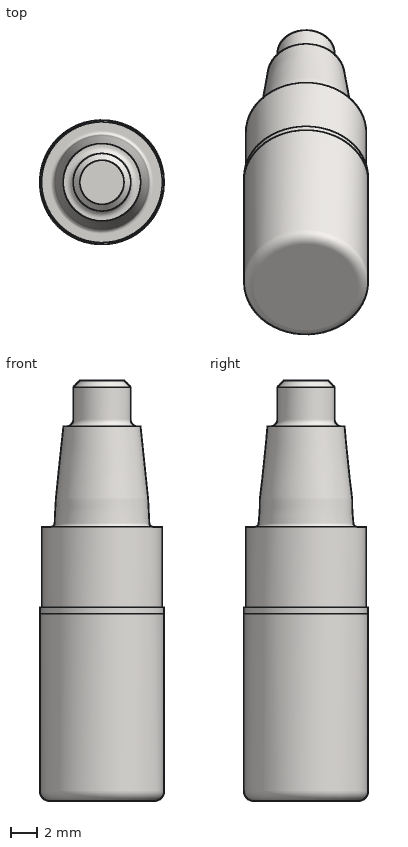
import cadquery as cq
import math

total_height = 32.2
barrel_height = 14.33
flange_height = 0.5
collar_top = 21.0
cone_break = 23.15
shoulder_height = 28.7

barrel_radius = 9.53 / 2
collar_radius = 9.25 / 2
cone_base_radius = 3.65
cone_break_radius = 3.55
shoulder_radius = 2.95
pin_radius = 4.4 / 2

bottom_fillet = 0.77
cone_root_fillet = 0.3
pin_root_fillet = 0.5
pin_chamfer = 0.5

flange_top = barrel_height + flange_height
cone_base = collar_top + cone_root_fillet


def root_arc(profile, wall_radius, floor_height, size):
    """Concave quarter round from the foot of a wall out onto the floor."""
    reach = size * (1 - math.sqrt(0.5))
    middle = (wall_radius + reach, floor_height + reach)
    end = (wall_radius + size, floor_height)
    return profile.threePointArc(middle, end)


def make_barrel():
    """Plain cylinder with a rounded bottom edge."""
    barrel = cq.Workplane("XY").circle(barrel_radius).extrude(barrel_height)
    return barrel.faces("<Z").edges().fillet(bottom_fillet)


def make_tip():
    """Turned tip: pin, two-stage cone, collar and flange, revolved about Z."""
    profile = (
        cq.Workplane("XZ")
        .moveTo(0, barrel_height)
        .lineTo(0, total_height)
        .lineTo(pin_radius - pin_chamfer, total_height)
        .lineTo(pin_radius, total_height - pin_chamfer)
        .lineTo(pin_radius, shoulder_height + pin_root_fillet)
    )
    profile = root_arc(profile, pin_radius, shoulder_height, pin_root_fillet)
    profile = (
        profile.lineTo(shoulder_radius, shoulder_height)
        .lineTo(cone_break_radius, cone_break)
        .lineTo(cone_base_radius, cone_base)
    )
    profile = root_arc(profile, cone_base_radius, collar_top, cone_root_fillet)
    profile = (
        profile.lineTo(collar_radius, collar_top)
        .lineTo(collar_radius, flange_top)
        .lineTo(barrel_radius, flange_top)
        .lineTo(barrel_radius, barrel_height)
        .close()
    )
    return profile.revolve(360, (0, 0, 0), (0, 1, 0))


barrel = make_barrel()
tip = make_tip()

result = cq.Compound.makeCompound([barrel.val(), tip.val()])